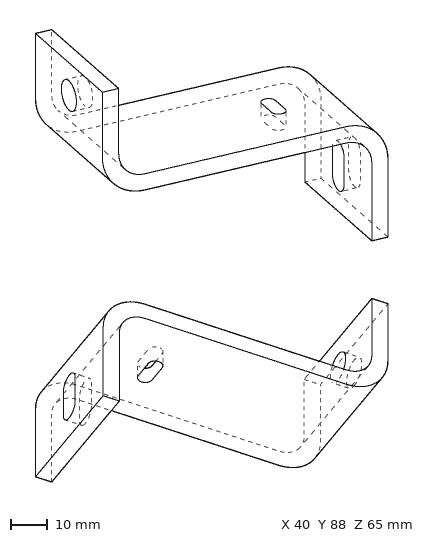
import cadquery as cq

width = 40.0
depth = 88.0
height = 65.0

thickness = 5.0
inner_radius = 8.0
outer_radius = inner_radius + thickness
web_top = 37.0
web_bottom = web_top - thickness

hole_diameter = 9.0
hole_below_top = 10.0

flange_slot_length = 15.0
flange_slot_width = 7.0
flange_slot_height = 14.0

web_slot_length = 10.0
web_slot_width = 4.2
web_slot_from_back = 25.0

front = -depth / 2
back = depth / 2


def make_bent_strip():
    """Z-shaped side outline in the YZ plane, extruded across the width."""
    outline = (
        cq.Workplane("YZ")
        .moveTo(front, height)
        .lineTo(front, web_bottom + outer_radius)
        .radiusArc((front + outer_radius, web_bottom), -outer_radius)
        .lineTo(back - outer_radius, web_bottom)
        .radiusArc((back - thickness, web_top - outer_radius), inner_radius)
        .lineTo(back - thickness, 0)
        .lineTo(back, 0)
        .lineTo(back, web_top - outer_radius)
        .radiusArc((back - outer_radius, web_top), -outer_radius)
        .lineTo(front + outer_radius, web_top)
        .radiusArc((front + thickness, web_bottom + outer_radius), inner_radius)
        .lineTo(front + thickness, height)
        .close()
    )
    return outline.extrude(width / 2, both=True)


def make_upper_hole():
    """Cutter through the front, upper flange."""
    plane = cq.Workplane("XZ", origin=(0, front + thickness, height - hole_below_top))
    return plane.circle(hole_diameter / 2).extrude(thickness)


def make_lower_slot():
    """Cutter through the back, lower flange."""
    plane = cq.Workplane("XZ", origin=(0, back, flange_slot_height))
    return plane.slot2D(flange_slot_length, flange_slot_width, 90).extrude(thickness)


def make_web_slot():
    """Cutter through the horizontal web."""
    plane = cq.Workplane("XY", origin=(0, back - web_slot_from_back, web_bottom))
    return plane.slot2D(web_slot_length, web_slot_width).extrude(thickness)


result = make_bent_strip().cut(make_upper_hole()).cut(make_lower_slot()).cut(make_web_slot())